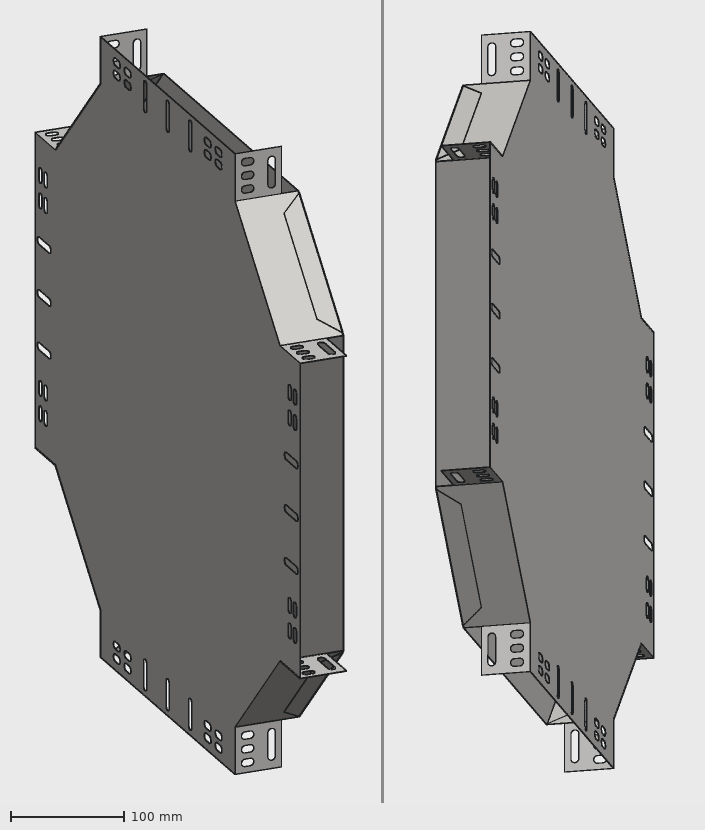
import cadquery as cq
import math

span = 591.5
height = 61.5
sheet = 0.7
arm_width = 301.0
tab_size = 45.0
flap_depth = 20.0
flap_taper = 16.5
flap_end_gap = 2.5

slot_width = 7.0
floor_long_slot = 30.0
floor_long_pitch = 50.0
floor_long_inset = 20.0
floor_short_slot = 15.0
floor_short_offsets = (89.0, 113.5)
floor_short_insets = (12.0, 23.5)

tab_long_slot = 30.0
tab_long_height = 35.5
tab_short_slot = 12.0
tab_short_pitch = 13.0
tab_short_height = 12.5
tab_long_inset = 23.0
tab_short_inset = 22.5

bend_angle = 45
half_span = span / 2
half_arm = arm_width / 2
shoulder = half_span - tab_size
front_y = -height / 2
back_y = height / 2
lid_inner_y = back_y - sheet
tray_depth = height - sheet
wall_shift = sheet * math.tan(math.radians(bend_angle / 2))
diagonal_length = math.sqrt(2) * (shoulder - half_arm)
diagonal_distance = (shoulder + half_arm) / math.sqrt(2)
quarter_turns = (0, 90, 180, 270)


def plate(points, start_y, depth):
    """Extrude an outline of (x, z) points from start_y toward +Y."""
    return cq.Workplane("XZ", origin=(0, start_y, 0)).polyline(points).close().extrude(-depth)


def turned(shape, angle):
    """Turn a shape about the Y axis through the middle of the cross."""
    return shape.rotate((0, 0, 0), (0, 1, 0), angle)


def mirrored_outline(quarter):
    """Complete an outline from its points in the +X +Z quarter."""
    right_half = quarter + [(x, -z) for x, z in reversed(quarter)]
    return right_half + [(-x, -z) for x, z in right_half]


def above_tab(start_x, start_z):
    """Cutter that lowers the wall strip to tab height beyond a shoulder."""
    outline = [(start_x, start_z), (half_span, start_z), (half_span, half_span), (start_x, half_span)]
    return plate(outline, front_y + tab_size, tray_depth)


def corner_wall():
    """Diagonal side wall with a lower coupling tab bent from each end."""
    inner_arm = half_arm - sheet
    inner_shoulder = shoulder - wall_shift
    strip = plate(
        [
            (half_arm, half_span),
            (half_arm, shoulder),
            (shoulder, half_arm),
            (half_span, half_arm),
            (half_span, inner_arm),
            (inner_shoulder, inner_arm),
            (inner_arm, inner_shoulder),
            (inner_arm, half_span),
        ],
        front_y,
        tray_depth,
    )
    above_top_tab = above_tab(0, shoulder)
    above_side_tab = above_tab(shoulder, 0)
    return strip.cut(above_top_tab).cut(above_side_tab)


def arm_floor_slots():
    """Cutters for the floor slots of the +Z arm."""
    face = cq.Workplane("XZ", origin=(0, front_y, 0))
    long_slots = (
        face.pushPoints([(i * floor_long_pitch, half_span - floor_long_inset) for i in (-1, 0, 1)])
        .slot2D(floor_long_slot, slot_width, 90)
        .extrude(-sheet)
    )
    short_places = [
        (side * offset, half_span - inset)
        for side in (-1, 1)
        for offset in floor_short_offsets
        for inset in floor_short_insets
    ]
    short_slots = face.pushPoints(short_places).slot2D(floor_short_slot, slot_width).extrude(-sheet)
    return long_slots.add(short_slots)


def arm_tab_slots():
    """Cutters through both coupling tabs of the +Z arm."""
    middle = half_span - tab_short_inset
    face = cq.Workplane("YZ", origin=(0, front_y, 0))
    long_slot = (
        face.center(tab_long_height, half_span - tab_long_inset)
        .slot2D(tab_long_slot, slot_width, 90)
        .extrude(half_arm, both=True)
    )
    short_slots = (
        face.pushPoints([(tab_short_height, middle + i * tab_short_pitch) for i in (-1, 0, 1)])
        .slot2D(tab_short_slot, slot_width)
        .extrude(half_arm, both=True)
    )
    return long_slot.add(short_slots)


def make_tray():
    """Slotted floor with four diagonal walls and eight coupling tabs."""
    floor_quarter = [(half_arm, half_span), (half_arm, shoulder), (shoulder, half_arm), (half_span, half_arm)]
    tray = plate(mirrored_outline(floor_quarter), front_y, sheet)
    for angle in quarter_turns:
        tray = tray.union(turned(corner_wall(), angle))
    for angle in quarter_turns:
        for cutters in (arm_floor_slots(), arm_tab_slots()):
            for cutter in cutters.vals():
                tray = tray.cut(turned(cq.Workplane(cutter), angle))
    return tray


def lid_flap():
    """Mitred flap lying against the outside of a diagonal wall."""
    root = diagonal_length / 2 - flap_end_gap
    tip = root - flap_taper
    tip_y = back_y - flap_depth
    flap = (
        cq.Workplane("XY", origin=(0, 0, diagonal_distance))
        .polyline(
            [
                (-root, back_y),
                (root, back_y),
                (root, lid_inner_y),
                (tip, tip_y),
                (-tip, tip_y),
                (-root, lid_inner_y),
            ]
        )
        .close()
        .extrude(sheet)
    )
    return turned(flap, bend_angle)


def make_lid():
    """Octagonal back cover with a flap over each diagonal wall."""
    cover_quarter = [(half_arm, shoulder), (shoulder, half_arm)]
    lid = plate(mirrored_outline(cover_quarter), lid_inner_y, sheet)
    for angle in quarter_turns:
        lid = lid.union(turned(lid_flap(), angle))
    return lid


tray = make_tray()
lid = make_lid()
result = cq.Compound.makeCompound([tray.solids().val(), lid.solids().val()])